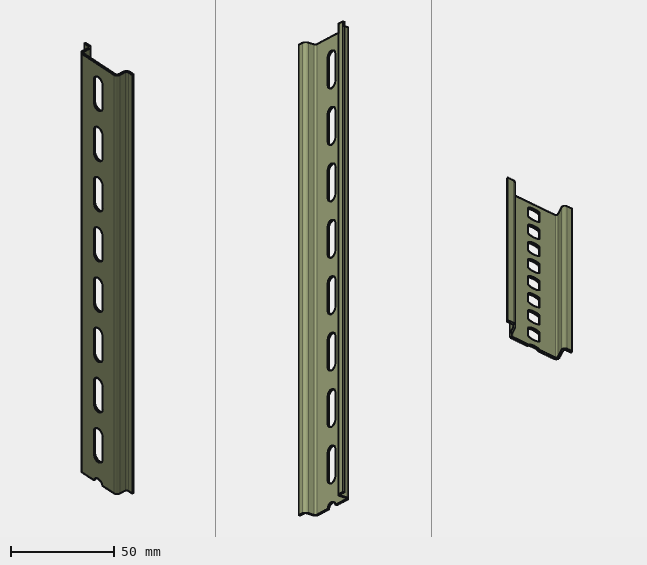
import cadquery as cq
import math

length = 250.0
rail_width = 35.0
rail_height = 7.5
hat_width = 27.0
thickness = 1.0
inner_radius = 1.0

slot_width = 6.2
slot_length = 20.0
slot_pitch = 30.0
slot_end_margin = 7.5

outer_radius = inner_radius + thickness
slot_count = math.ceil((length - slot_end_margin) / slot_pitch)


def make_rail():
    """Bent strip: flat web at -Y, two walls and two outward flanges at +Y."""
    half_rail = rail_width / 2
    wall_outside = hat_width / 2
    web_end = wall_outside - outer_radius
    flange_start = wall_outside + inner_radius
    wall_top = rail_height - outer_radius
    half_bend = math.sqrt(0.5)
    web_bend = (web_end, outer_radius)
    flange_bend = (flange_start, wall_top)

    def web_bend_middle(radius):
        return web_bend[0] + radius * half_bend, web_bend[1] - radius * half_bend

    def flange_bend_middle(radius):
        return flange_bend[0] - radius * half_bend, flange_bend[1] + radius * half_bend

    half_profile = (
        cq.Workplane("XY")
        .moveTo(0, 0)
        .lineTo(web_end, 0)
        .threePointArc(web_bend_middle(outer_radius), (wall_outside, outer_radius))
        .lineTo(wall_outside, wall_top)
        .threePointArc(flange_bend_middle(inner_radius), (flange_start, rail_height - thickness))
        .lineTo(half_rail, rail_height - thickness)
        .lineTo(half_rail, rail_height)
        .lineTo(flange_start, rail_height)
        .threePointArc(flange_bend_middle(outer_radius), (wall_outside - thickness, wall_top))
        .lineTo(wall_outside - thickness, outer_radius)
        .threePointArc(web_bend_middle(inner_radius), (web_end, thickness))
        .lineTo(0, thickness)
        .close()
    )
    half_rail_body = half_profile.extrude(length)
    return half_rail_body.union(half_rail_body.mirror("YZ")).clean()


def make_slots():
    """Cutters spaced down from the top end; the last one runs out of the bottom end."""
    top_slot_center = length - slot_end_margin - slot_length / 2
    centers = [(0, top_slot_center - i * slot_pitch) for i in range(slot_count)]
    return (
        cq.Workplane("XZ")
        .pushPoints(centers)
        .slot2D(slot_length, slot_width, 90)
        .extrude(rail_height, both=True)
    )


result = make_rail().cut(make_slots())